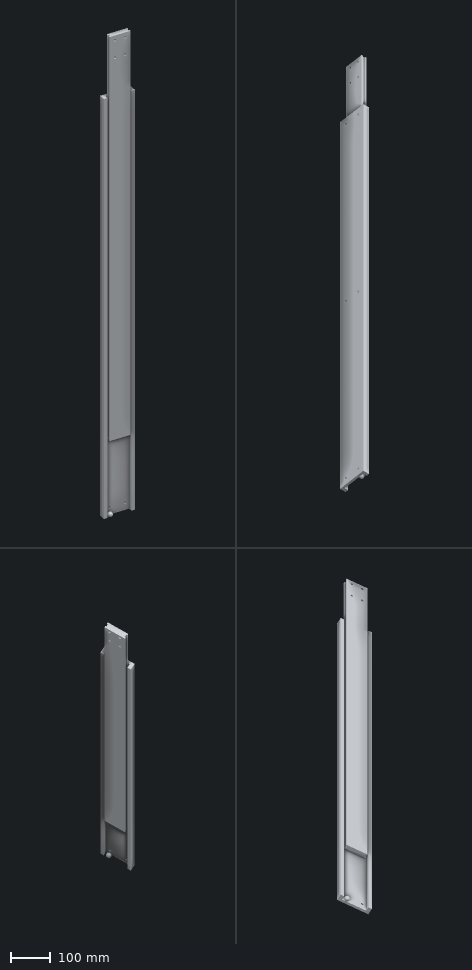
import cadquery as cq

housing_depth = 19.0
housing_width = 90.0
housing_length = 1247.0
housing_bottom = 3.0
web_thickness = 7.0
flange_thickness = 10.0
housing_hole_pitch_y = 47.0
housing_hole_end_margin = 21.0

stop_radius = 7.0
stop_x = 13.0
stop_y = -housing_hole_pitch_y / 2

overall_depth = 23.0
overall_length = 1432.0
slider_width = 60.0
slider_length = 1200.0
groove_depth = 3.0
groove_width = 7.0
slider_hole_pitch_y = 30.0
slider_hole_top_margins = (15.0, 66.0)

hole_diameter = 7.0

slider_depth = overall_depth - web_thickness
slider_bottom = overall_length - slider_length


def bar(x_start, depth, width, z_start, length):
    """Upright rectangular bar centred on Y = 0."""
    return (
        cq.Workplane("XY", origin=(x_start + depth / 2, 0, z_start))
        .rect(depth, width)
        .extrude(length)
    )


def hole_pairs(pitch_y, heights):
    """Cutters along X, one pair of holes at each height."""
    points = [(side * pitch_y / 2, z) for z in heights for side in (-1, 1)]
    return (
        cq.Workplane("YZ")
        .pushPoints(points)
        .circle(hole_diameter / 2)
        .extrude(overall_depth)
    )


def make_housing():
    channel = bar(0, housing_depth, housing_width, housing_bottom, housing_length)
    cavity_width = housing_width - 2 * flange_thickness
    cavity = bar(web_thickness, housing_depth, cavity_width, housing_bottom, housing_length)
    heights = (
        housing_bottom + housing_hole_end_margin,
        housing_bottom + housing_length / 2,
        housing_bottom + housing_length - housing_hole_end_margin,
    )
    stop = cq.Workplane("XY", origin=(stop_x, stop_y, stop_radius)).sphere(stop_radius)
    return channel.cut(cavity).union(stop).cut(hole_pairs(housing_hole_pitch_y, heights))


def make_slider():
    body = bar(web_thickness, slider_depth, slider_width, slider_bottom, slider_length)
    groove_x = web_thickness + (slider_depth - groove_width) / 2
    for side in (-1, 1):
        groove = bar(groove_x, groove_width, 2 * groove_depth, slider_bottom, slider_length)
        body = body.cut(groove.translate((0, side * slider_width / 2, 0)))
    heights = [overall_length - margin for margin in slider_hole_top_margins]
    return body.cut(hole_pairs(slider_hole_pitch_y, heights))


housing = make_housing()
slider = make_slider()

result = cq.Compound.makeCompound([housing.val(), slider.val()])